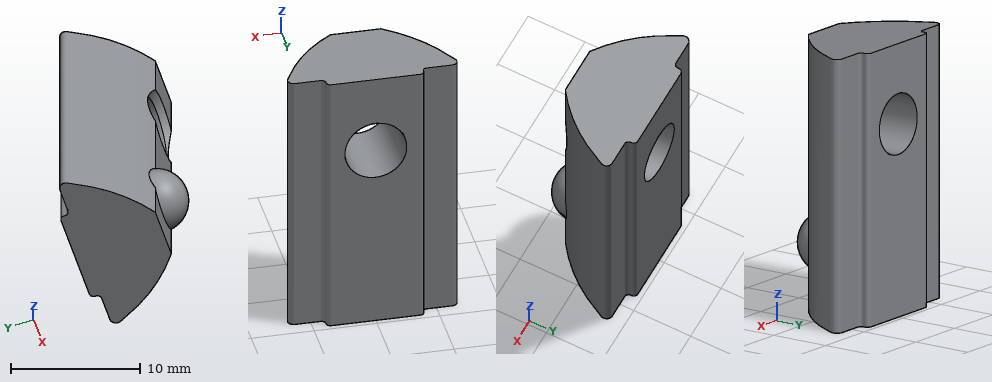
import cadquery as cq
import math

length = 22.0
depth = 7.2
front_flat_width = 4.0
boss_width = 7.75
boss_height = 0.8
boss_fillet = 0.35
flank_start_x = 6.35
flank_start_depth = 2.11
flank_angle = 28.4
flank_radius = 13.2
tip_fillet = 0.5

hole_diameter = 4.9
hole_height = 15.53
countersink_diameter = 6.05

ball_diameter = 5.0
ball_height = 4.97
ball_projection = 1.95

front_y = -depth
ball_center = (0, front_y - ball_projection + ball_diameter / 2, ball_height)


def curved_flank_midpoint():
    """Point halfway along the arc of the right-hand curved flank."""
    start_x, start_y = flank_start_x, -flank_start_depth
    end_x, end_y = front_flat_width / 2, front_y
    chord = math.hypot(end_x - start_x, end_y - start_y)
    bulge = flank_radius - math.sqrt(flank_radius**2 - (chord / 2) ** 2)
    outward_x = (start_y - end_y) / chord
    outward_y = (end_x - start_x) / chord
    return (
        (start_x + end_x) / 2 + bulge * outward_x,
        (start_y + end_y) / 2 + bulge * outward_y,
    )


def make_profile_prism():
    """Extrude the section of the nut and round its long edges."""
    half_boss = boss_width / 2
    half_flat = front_flat_width / 2
    flank_rise = flank_start_depth - boss_height
    tip_x = flank_start_x + flank_rise * math.tan(math.radians(flank_angle))
    mid_x, mid_y = curved_flank_midpoint()
    prism = (
        cq.Workplane("XY")
        .moveTo(-half_boss, 0)
        .lineTo(half_boss, 0)
        .lineTo(half_boss, -boss_height)
        .lineTo(tip_x, -boss_height)
        .lineTo(flank_start_x, -flank_start_depth)
        .threePointArc((mid_x, mid_y), (half_flat, front_y))
        .lineTo(-half_flat, front_y)
        .threePointArc((-mid_x, mid_y), (-flank_start_x, -flank_start_depth))
        .lineTo(-tip_x, -boss_height)
        .lineTo(-half_boss, -boss_height)
        .close()
        .extrude(length)
    )
    for side in (-1, 1):
        for edge_y in (0, -boss_height):
            boss_edge = cq.selectors.NearestToPointSelector((side * half_boss, edge_y, length / 2))
            prism = prism.edges("|Z").edges(boss_edge).fillet(boss_fillet)
        tip_edge = cq.selectors.NearestToPointSelector((side * tip_x, -boss_height, length / 2))
        prism = prism.edges("|Z").edges(tip_edge).fillet(tip_fillet)
    return prism


def make_countersunk_hole():
    """Cutter for the through hole, revolved about its axis along Y."""
    hole_radius = hole_diameter / 2
    sink_radius = countersink_diameter / 2
    sink_depth = sink_radius - hole_radius
    return (
        cq.Workplane("XY")
        .moveTo(0, 0)
        .lineTo(hole_radius, 0)
        .lineTo(hole_radius, front_y + sink_depth)
        .lineTo(sink_radius, front_y)
        .lineTo(0, front_y)
        .close()
        .revolve(360, (0, 0, 0), (0, 1, 0))
        .translate((0, 0, hole_height))
    )


def make_ball():
    return cq.Workplane("XY").sphere(ball_diameter / 2).translate(ball_center)


def make_nut():
    """Nut body with its hole and a seat matching the ball."""
    return make_profile_prism().cut(make_countersunk_hole()).cut(make_ball())


nut = make_nut()
ball = make_ball()

result = cq.Compound.makeCompound([nut.solids().val(), ball.val()])